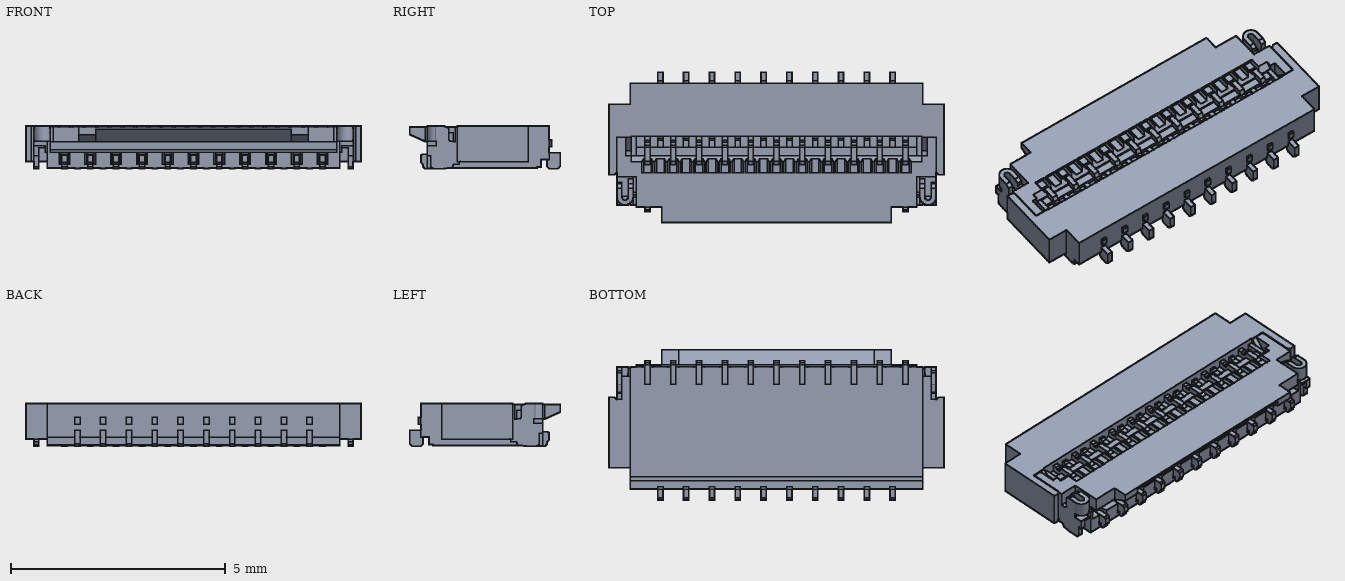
import cadquery as cq


LENGTH = 7.8
DEPTH = 3.5
HEIGHT = 1.0

PITCH = 0.6
FRONT_CONTACTS = 11
REAR_CONTACTS = 10
CONTACT_WIDTH = 0.125

BODY_WIDTH = 6.81
BODY_FRONT = 0.405
BODY_REAR = 3.245
BODY_BOTTOM = 0.015
BASE_TOP = 0.39
REAR_NOTCH_DEPTH = 0.19
REAR_NOTCH_TOP = 0.21
REAR_STEP_DEPTH = 0.09
REAR_STEP_TOP = 0.04
EAR_FRONT = 1.11
EAR_REAR = 2.75
EAR_BOTTOM = 0.16
EAR_CHAMFER = 0.06

LID_WIDTH = 7.425
LID_TOP = 0.975
LID_BOTTOM = 0.63
LID_WING_FRONT = 1.06
LID_REAR = 1.98
LID_MID_WIDTH = 6.54
LID_MID_FRONT = 0.36
LIP_WIDTH = 5.35
LIP_BEVEL_TOP = 0.795
MOUTH_WIDTH = 4.555
MOUTH_TOP = 0.92

SLOT_WIDTH = 6.66
SLOT_FLOOR = 0.445
SLOT_END = 0.7
SLOT_LEAD = 0.055

WINDOW_WIDTH = 7.005
WINDOW_FRONT = 1.56
WINDOW_REAR = 2.005
COMB_SLOPE_WIDTH = 6.755
COMB_FRONT = 1.155
COMB_REAR = 1.42
COMB_SLOPE_BOTTOM = 0.85
WELL_FLOOR = 0.63
BAR_TOP = 0.82
LEDGE_TOP = 0.73
LEDGE_FRONT = 1.75
LEDGE_WIDTH = 6.54
WEDGE_FRONT = 1.68
WINDOW_SIDE_TOP = 0.86

GROOVE_MOUTH = 0.26
GROOVE_FLOOR_WIDTH = 0.17
GROOVE_DEPTH = 0.06

ARM_TOP = 0.96
ARM_TIP = 1.35
ARM_TIP_BEVEL = 0.08
ARM_DROP = 0.055
ARM_ROOT_TOP = 0.85
ARM_HEEL = 1.91
ARM_HEEL_RISE = 0.04
STUB_TOP = 0.84
STUB_BEVEL = 0.05
FOOT_FRONT = 0.26
FOOT_REAR = 0.8
FOOT_TOP = 0.34
FOOT_BEVEL = 0.05
FOOT_BEVEL_DROP = 0.02
FOOT_NOSE_BOTTOM = 0.15
FOOT_POCKET_WIDTH = 0.25
FOOT_POCKET_BACK_WIDTH = 0.17
FOOT_POCKET_DEPTH = 0.19
FOOT_POCKET_BOTTOM = 0.1
TAIL_TOP = 0.375
TAIL_LENGTH = 0.31
TAIL_CHAMFER = 0.055
STUD_LENGTH = 0.055
STUD_BOTTOM = 0.51
STUD_TOP = 0.67

FITTING_OUTER = LID_WIDTH / 2
FITTING_WALL = 0.12
HOOK_WIDTH = 0.375
HOOK_BOTTOM = 0.64
HOOK_TOP_REAR = 0.8
HOOK_REAR = 0.905
HOOK_BEVEL = 0.055
HOOK_ROOT_BEVEL = 0.04
INNER_TAIL_TOP = 0.84
INNER_TAIL_REAR = 1.015
POST_REAR = 1.155
PLATE_STEP_REAR = 1.02
PLATE_STEP_BOTTOM = 0.11
PLATE_HEEL = 0.03
RELIEF_BOTTOM = 0.54
RELIEF_DEPTH = 0.21
WEB_BOTTOM = 0.49
BRIDGE_FRONT = 0.625
TOE_SETBACK = 0.085
TOE_CHAMFER = 0.05
TOE_TOP = 0.305


def block(width, y0, y1, z0, z1, x=0.0):
    """Box of the given width centred on x, between two Y and two Z levels."""
    return cq.Workplane("XY").box(width, y1 - y0, z1 - z0).translate((x, (y0 + y1) / 2, (z0 + z1) / 2))


def prism(width, profile, x=0.0):
    """YZ profile extruded along X, centred on x."""
    return cq.Workplane("YZ").polyline(profile).close().extrude(width / 2, both=True).translate((x, 0, 0))


def row(count):
    """X places of a centred row of contacts."""
    return [(i - (count - 1) / 2) * PITCH for i in range(count)]


def both_sides(shape):
    return shape.union(shape.mirror("YZ"))


def housing():
    body = prism(BODY_WIDTH, [
        (BODY_FRONT, BODY_BOTTOM),
        (BODY_REAR - REAR_NOTCH_DEPTH - REAR_STEP_DEPTH, BODY_BOTTOM),
        (BODY_REAR - REAR_NOTCH_DEPTH - REAR_STEP_DEPTH, REAR_STEP_TOP),
        (BODY_REAR - REAR_NOTCH_DEPTH, REAR_STEP_TOP),
        (BODY_REAR - REAR_NOTCH_DEPTH, REAR_NOTCH_TOP),
        (BODY_REAR, REAR_NOTCH_TOP),
        (BODY_REAR, HEIGHT),
        (LID_REAR, HEIGHT),
        (LID_REAR, LID_BOTTOM),
        (SLOT_END, LID_BOTTOM),
        (SLOT_END, BASE_TOP),
        (BODY_FRONT, BASE_TOP),
    ])
    ears = block(LENGTH, EAR_FRONT, EAR_REAR, EAR_BOTTOM, HEIGHT)
    lid_seat = block(LID_WIDTH, EAR_FRONT, LID_REAR, LID_BOTTOM, HEIGHT)
    inner_corner = (
        cq.Workplane("XY", origin=(0, 0, EAR_BOTTOM))
        .polyline([
            (LID_WIDTH / 2, EAR_FRONT),
            (LID_WIDTH / 2 + EAR_CHAMFER, EAR_FRONT),
            (LID_WIDTH / 2, EAR_FRONT + EAR_CHAMFER),
        ])
        .close()
        .extrude(HEIGHT - EAR_BOTTOM)
    )
    body = body.union(ears.cut(lid_seat).cut(both_sides(inner_corner)))
    lead_start = BODY_FRONT + FOOT_POCKET_DEPTH
    slot_lead = prism(SLOT_WIDTH, [
        (lead_start, BASE_TOP),
        (SLOT_END, BASE_TOP),
        (SLOT_END, SLOT_FLOOR),
        (lead_start + SLOT_LEAD, SLOT_FLOOR),
    ])
    wall_width = (BODY_WIDTH - SLOT_WIDTH) / 2
    slot_wall = block(wall_width, BODY_FRONT, EAR_FRONT, BASE_TOP, HOOK_BOTTOM, (BODY_WIDTH - wall_width) / 2)
    return body.union(slot_lead).union(both_sides(slot_wall))


def lid():
    wings = block(LID_WIDTH, LID_WING_FRONT, LID_REAR, LID_BOTTOM, LID_TOP)
    middle = block(LID_MID_WIDTH, LID_MID_FRONT, LID_WING_FRONT, LID_BOTTOM, LID_TOP)
    lip = prism(LIP_WIDTH, [
        (0, LIP_BEVEL_TOP),
        (0, LID_TOP),
        (LID_MID_FRONT, LID_TOP),
        (LID_MID_FRONT, LID_BOTTOM),
    ])
    mouth = prism(MOUTH_WIDTH, [(0, LID_BOTTOM), (0, MOUTH_TOP), (LID_MID_FRONT, LID_BOTTOM)])
    return wings.union(middle).union(lip).cut(mouth)


def window():
    """Opening behind the comb, with the sloped rear edge of the lid as its front wall."""
    opening = block(WINDOW_WIDTH, WINDOW_FRONT, LID_REAR, WELL_FLOOR, HEIGHT)
    opening = opening.union(block(COMB_SLOPE_WIDTH, LID_REAR, WINDOW_REAR, WELL_FLOOR, HEIGHT))
    slope = prism(COMB_SLOPE_WIDTH, [
        (WINDOW_FRONT, COMB_SLOPE_BOTTOM),
        (WINDOW_FRONT, LID_TOP),
        (COMB_REAR, LID_TOP),
    ])
    return opening.union(slope)


def window_fill():
    """Hinge bar and rear ledge of the window, and at each end a rail and a steep wedge."""
    bar = block(LEDGE_WIDTH, WINDOW_FRONT, LEDGE_FRONT, WELL_FLOOR, BAR_TOP)
    ledge = block(LEDGE_WIDTH, LEDGE_FRONT, WINDOW_REAR, WELL_FLOOR, LEDGE_TOP)
    rail_width = (COMB_SLOPE_WIDTH - LEDGE_WIDTH) / 2
    rail = block(rail_width, WINDOW_FRONT, WINDOW_REAR, WELL_FLOOR, WINDOW_SIDE_TOP,
                 (COMB_SLOPE_WIDTH - rail_width) / 2)
    wedge_width = (WINDOW_WIDTH - COMB_SLOPE_WIDTH) / 2
    wedge = prism(wedge_width, [
        (WEDGE_FRONT, WELL_FLOOR),
        (LID_REAR, LID_TOP),
        (LID_REAR, WELL_FLOOR),
    ], (WINDOW_WIDTH - wedge_width) / 2)
    return bar.union(ledge).union(both_sides(rail.union(wedge)))


def comb_groove(x):
    return (
        cq.Workplane("XZ", origin=(x, COMB_FRONT, 0))
        .polyline([
            (-GROOVE_MOUTH / 2, LID_TOP),
            (GROOVE_MOUTH / 2, LID_TOP),
            (GROOVE_FLOOR_WIDTH / 2, LID_TOP - GROOVE_DEPTH),
            (-GROOVE_FLOOR_WIDTH / 2, LID_TOP - GROOVE_DEPTH),
        ])
        .close()
        .extrude(COMB_FRONT - WINDOW_FRONT)
    )


def front_contact(x):
    """Arm reaching across the window into the comb, and the foot at the front edge."""
    arm = prism(CONTACT_WIDTH, [
        (ARM_TIP, LID_TOP - GROOVE_DEPTH),
        (ARM_TIP + ARM_TIP_BEVEL, ARM_TOP),
        (LEDGE_FRONT, ARM_TOP),
        (LEDGE_FRONT + ARM_DROP, ARM_ROOT_TOP),
        (ARM_HEEL - ARM_HEEL_RISE, ARM_ROOT_TOP),
        (ARM_HEEL, ARM_ROOT_TOP + ARM_HEEL_RISE),
        (WINDOW_REAR, ARM_ROOT_TOP + ARM_HEEL_RISE),
        (WINDOW_REAR, LEDGE_TOP),
        (LEDGE_FRONT, LEDGE_TOP),
        (LEDGE_FRONT, BAR_TOP),
        (WINDOW_FRONT, BAR_TOP),
    ], x)
    foot = prism(CONTACT_WIDTH, [
        (FOOT_FRONT + 2 * FOOT_BEVEL, 0),
        (FOOT_FRONT + FOOT_BEVEL, FOOT_BEVEL),
        (FOOT_FRONT + FOOT_BEVEL, FOOT_NOSE_BOTTOM - FOOT_BEVEL),
        (FOOT_FRONT, FOOT_NOSE_BOTTOM),
        (FOOT_FRONT, FOOT_TOP - FOOT_BEVEL_DROP),
        (FOOT_FRONT + FOOT_BEVEL, FOOT_TOP),
        (FOOT_REAR, FOOT_TOP),
        (FOOT_REAR, 0),
    ], x)
    return arm.union(foot)


def foot_pocket(x):
    """Pocket around a foot, tapering towards its back."""
    return (
        cq.Workplane("XY", origin=(x, BODY_FRONT, FOOT_POCKET_BOTTOM))
        .polyline([
            (-FOOT_POCKET_WIDTH / 2, 0),
            (FOOT_POCKET_WIDTH / 2, 0),
            (FOOT_POCKET_BACK_WIDTH / 2, FOOT_POCKET_DEPTH),
            (-FOOT_POCKET_BACK_WIDTH / 2, FOOT_POCKET_DEPTH),
        ])
        .close()
        .extrude(BASE_TOP - FOOT_POCKET_BOTTOM)
    )


def rear_contact(x):
    """Bevelled stub on the window ledge, stud on the rear face and solder tail below it."""
    stub = prism(CONTACT_WIDTH, [
        (LEDGE_FRONT, LEDGE_TOP),
        (LEDGE_FRONT, STUB_TOP - STUB_BEVEL),
        (WINDOW_REAR - 2 * STUB_BEVEL, STUB_TOP - STUB_BEVEL),
        (WINDOW_REAR - STUB_BEVEL, STUB_TOP),
        (WINDOW_REAR, STUB_TOP),
        (WINDOW_REAR, LEDGE_TOP),
    ], x)
    stud = block(CONTACT_WIDTH, BODY_REAR, BODY_REAR + STUD_LENGTH, STUD_BOTTOM, STUD_TOP, x)
    tail = block(CONTACT_WIDTH, DEPTH - TAIL_LENGTH, DEPTH, 0, TAIL_TOP, x)
    tail = tail.edges("|X and <Z").chamfer(TAIL_CHAMFER)
    return stub.union(stud).union(tail)


def fitting():
    """Hold-down on the +X side: round U-shaped hook on top, upright plate at the outside."""
    radius = HOOK_WIDTH / 2
    inner_radius = radius - FITTING_WALL
    centre_x = FITTING_OUTER - radius
    centre_y = BODY_FRONT + radius

    def loop(r, bottom):
        return (
            cq.Workplane("XY", origin=(centre_x, centre_y, bottom))
            .moveTo(-r, LID_WING_FRONT - centre_y)
            .lineTo(-r, 0)
            .threePointArc((0, -r), (r, 0))
            .lineTo(r, LID_WING_FRONT - centre_y)
            .close()
            .extrude(HEIGHT - bottom)
        )

    side_profile = prism(HOOK_WIDTH, [
        (BODY_FRONT, HOOK_BOTTOM),
        (BODY_FRONT, HEIGHT),
        (HOOK_TOP_REAR, HEIGHT),
        (HOOK_REAR, HEIGHT - HOOK_BEVEL),
        (HOOK_REAR, HOOK_BOTTOM + HOOK_ROOT_BEVEL),
        (HOOK_REAR + HOOK_ROOT_BEVEL, HOOK_BOTTOM),
    ], centre_x)
    hook = loop(radius, HOOK_BOTTOM).cut(loop(inner_radius, HOOK_BOTTOM)).intersect(side_profile)

    plate_x = FITTING_OUTER - FITTING_WALL / 2
    plate = prism(FITTING_WALL, [
        (BODY_FRONT + TOE_SETBACK + TOE_CHAMFER, 0),
        (BODY_FRONT + TOE_SETBACK, TOE_CHAMFER),
        (BODY_FRONT + TOE_SETBACK, TOE_TOP),
        (BODY_FRONT, TOE_TOP),
        (BODY_FRONT, RELIEF_BOTTOM),
        (BODY_FRONT + RELIEF_DEPTH, RELIEF_BOTTOM),
        (BODY_FRONT + RELIEF_DEPTH, HOOK_BOTTOM),
        (POST_REAR, HOOK_BOTTOM),
        (POST_REAR, PLATE_STEP_BOTTOM),
        (PLATE_STEP_REAR, PLATE_STEP_BOTTOM),
        (PLATE_STEP_REAR - PLATE_HEEL, PLATE_HEEL),
        (FOOT_REAR, 0),
    ], plate_x)

    inner_x = FITTING_OUTER - HOOK_WIDTH + FITTING_WALL / 2
    inner_post = block(FITTING_WALL, BODY_FRONT + RELIEF_DEPTH, POST_REAR, BASE_TOP, HOOK_BOTTOM, inner_x)
    inner_tail = block(FITTING_WALL, HOOK_TOP_REAR, INNER_TAIL_REAR, HOOK_BOTTOM, INNER_TAIL_TOP, inner_x)

    gap = HOOK_WIDTH - 2 * FITTING_WALL
    web = block(gap, BODY_FRONT, POST_REAR, WEB_BOTTOM, RELIEF_BOTTOM, centre_x)
    web_rear = block(gap, BODY_FRONT + RELIEF_DEPTH, POST_REAR, RELIEF_BOTTOM, HOOK_BOTTOM, centre_x)
    bridge_width = FITTING_OUTER - FITTING_WALL - BODY_WIDTH / 2
    bridge_x = (FITTING_OUTER - FITTING_WALL + BODY_WIDTH / 2) / 2
    bridge = block(bridge_width, BRIDGE_FRONT, POST_REAR, EAR_BOTTOM, HOOK_BOTTOM, bridge_x)
    return hook.union(plate).union(inner_post).union(inner_tail).union(web).union(web_rear).union(bridge)


result = housing().union(lid()).cut(window()).union(window_fill())
for x in row(FRONT_CONTACTS):
    result = result.cut(comb_groove(x)).cut(foot_pocket(x)).union(front_contact(x))
for x in row(REAR_CONTACTS):
    result = result.cut(comb_groove(x)).union(rear_contact(x))
result = result.union(both_sides(fitting()))